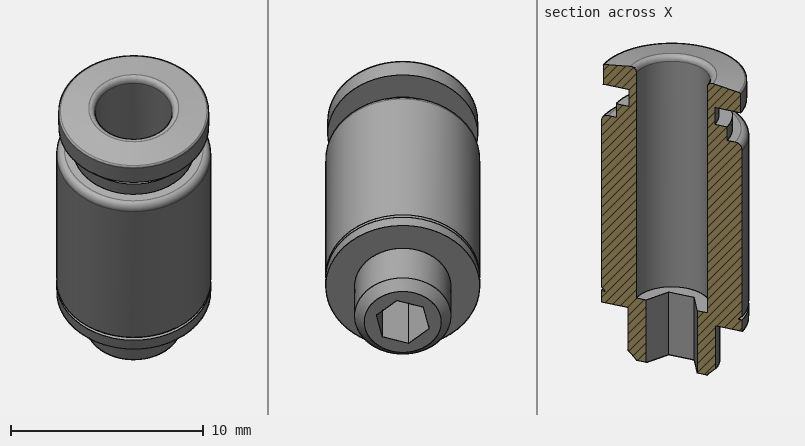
import cadquery as cq
import math

height = 17.32

stem_diameter = 5.0
body_diameter = 8.0
collar_diameter = 6.3
neck_diameter = 4.9
cap_diameter = 7.8
bore_diameter = 4.0
hex_across_flats = 2.5

stem_length = 3.01
flange_thickness = 0.7
body_length = 10.43
collar_length = 0.8
neck_length = 0.97

stem_chamfer = 0.5
body_bottom_chamfer = 0.2
body_top_fillet = 0.4
cap_slope = math.radians(8)
cap_edge_fillet = 0.1
bore_lip_fillet = 0.3

flange_top = stem_length + flange_thickness
body_top = flange_top + body_length
collar_top = body_top + collar_length
cap_bottom = collar_top + neck_length

bore_radius = bore_diameter / 2
cap_radius = cap_diameter / 2


def cylinder(diameter, bottom, top):
    """Solid cylinder on the Z axis between two levels."""
    return cq.Workplane("XY").workplane(offset=bottom).circle(diameter / 2).extrude(top - bottom)


def cap_surface_level(radius):
    """Height of the sloped cap face, placed so that its rounded bore lip peaks at the full height."""
    lip_center_radius = bore_radius + bore_lip_fillet
    lip_center_level = height - bore_lip_fillet
    level_above_lip_center = lip_center_level + bore_lip_fillet / math.cos(cap_slope)
    return level_above_lip_center - (radius - lip_center_radius) * math.tan(cap_slope)


def make_cap():
    """Ring with a shallow conical top and rounded inner and outer top edges."""
    ring = (
        cq.Workplane("XZ")
        .moveTo(bore_radius, cap_bottom)
        .lineTo(cap_radius, cap_bottom)
        .lineTo(cap_radius, cap_surface_level(cap_radius))
        .lineTo(bore_radius, cap_surface_level(bore_radius))
        .close()
        .revolve(360, (0, 0), (0, 1))
    )
    ring = ring.edges(cq.selectors.RadiusNthSelector(0)).edges(">Z").fillet(bore_lip_fillet)
    outer_edges = ring.edges(cq.selectors.RadiusNthSelector(-1))
    return outer_edges.edges(">Z").fillet(cap_edge_fillet)


def make_body():
    """Main sleeve, chamfered below and rounded above."""
    sleeve = cylinder(body_diameter, flange_top, body_top)
    return sleeve.faces("<Z").edges().chamfer(body_bottom_chamfer).faces(">Z").edges().fillet(body_top_fillet)


stem = cylinder(stem_diameter, 0, stem_length).faces("<Z").edges().chamfer(stem_chamfer)
flange = cylinder(body_diameter, stem_length, flange_top)
collar = cylinder(collar_diameter, body_top, collar_top)
neck = cylinder(neck_diameter, collar_top, cap_bottom)

bore = cylinder(bore_diameter, flange_top, cap_bottom)
hex_across_corners = hex_across_flats / math.cos(math.pi / 6)
hex_hole = (
    cq.Workplane("XY")
    .transformed(rotate=(0, 0, 90))
    .polygon(6, hex_across_corners)
    .extrude(flange_top)
)

shell = stem.union(flange).union(make_body()).union(collar).union(neck)
result = shell.cut(bore).cut(hex_hole).union(make_cap())